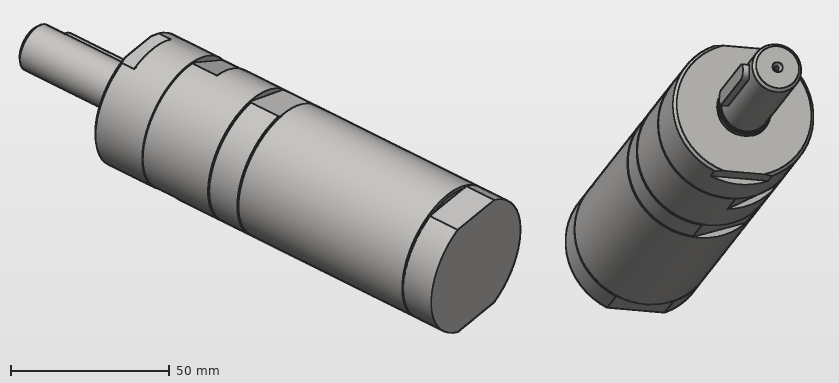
import cadquery as cq
import math

SHAFT_LENGTH = 42.0
TOTAL_LENGTH = 177.5
REAR_FACE = TOTAL_LENGTH - SHAFT_LENGTH
FRONT_COVER_END = 19.6
GEARBOX_END = 46.0
BAND_END = 58.2
REAR_SHOULDER = 124.3

BODY_RADIUS = 46 / 2
FRONT_CHAMFER = 1.0
SHOULDER_CHAMFER = 0.5
JOINT_DEPTH = 0.15
JOINT_WIDTH = 0.5
COVER_JOINT_WIDTH = 0.25
FLAT_DISTANCE = 21.0
FRONT_FLAT_LENGTH = 5.8
POCKET_LENGTH = 10.2
POCKET_ANGLE = 60
BAND_FLAT_ANGLE = 70
UPRIGHT_ANGLE = 90

CUT_MARGIN = 1.0

SHAFT_RADIUS = 16 / 2
SHAFT_CHAMFER = 1.0
COLLAR_LENGTH = 2.4
COLLAR_RADIUS = 16.95 / 2
COLLAR_RIM_LENGTH = 1.2
COLLAR_NECK_RADIUS = 16.6 / 2
RECESS_RADIUS = 17.5 / 2
RECESS_DEPTH = 1.0

KEY_LENGTH = 30.0
KEY_WIDTH = 5.0
KEY_HEIGHT = 5.0
KEY_TOP = 10.0
KEY_SETBACK = 4.9

PILOT_RADIUS = 1.6 / 2
PILOT_DEPTH = 4.0
CENTRE_RADIUS = 3.35 / 2
CENTRE_CONE_HALF_ANGLE = 30


def revolve_about_x(points):
    """Revolve a closed (x, radius) outline about the X axis."""
    return cq.Workplane("XY").polyline(points).close().revolve(360, (0, 0, 0), (1, 0, 0))


def make_housing():
    """Stack of equal-diameter sections, chamfered at the front end and at the rear shoulder."""
    outline = [
        (0, 0),
        (0, BODY_RADIUS - FRONT_CHAMFER),
        (FRONT_CHAMFER, BODY_RADIUS),
        (REAR_SHOULDER - SHOULDER_CHAMFER, BODY_RADIUS),
        (REAR_SHOULDER, BODY_RADIUS - SHOULDER_CHAMFER),
        (REAR_SHOULDER, BODY_RADIUS),
        (REAR_FACE, BODY_RADIUS),
        (REAR_FACE, 0),
    ]
    return revolve_about_x(outline)


def joint_groove(start, width):
    """Ring cutter for the shallow groove at a joint between two housing sections."""
    ring = cq.Workplane("YZ").circle(BODY_RADIUS + CUT_MARGIN).circle(BODY_RADIUS - JOINT_DEPTH).extrude(width)
    return ring.translate((start, 0, 0))


def flat_pair(start, end, angle):
    """Cutters for two opposite flats, the first facing `angle` degrees from +Y toward +Z."""
    depth = BODY_RADIUS - FLAT_DISTANCE + CUT_MARGIN
    cutter = cq.Workplane("XY").box(end - start, depth, 2 * BODY_RADIUS, centered=(False, False, True))
    cutter = cutter.translate((start, FLAT_DISTANCE, 0))
    first = cutter.rotate((0, 0, 0), (1, 0, 0), angle)
    second = cutter.rotate((0, 0, 0), (1, 0, 0), angle + 180)
    return first, second


def make_shaft():
    """Shaft with a chamfered end and a collar, rooted in the housing recess."""
    collar_start = -COLLAR_LENGTH
    outline = [
        (-SHAFT_LENGTH, 0),
        (-SHAFT_LENGTH, SHAFT_RADIUS - SHAFT_CHAMFER),
        (SHAFT_CHAMFER - SHAFT_LENGTH, SHAFT_RADIUS),
        (collar_start, SHAFT_RADIUS),
        (collar_start, COLLAR_RADIUS),
        (collar_start + COLLAR_RIM_LENGTH, COLLAR_RADIUS),
        (collar_start + COLLAR_RIM_LENGTH, COLLAR_NECK_RADIUS),
        (RECESS_DEPTH, COLLAR_NECK_RADIUS),
        (RECESS_DEPTH, 0),
    ]
    return revolve_about_x(outline)


def make_recess():
    """Shallow bore in the front face around the collar."""
    return cq.Workplane("YZ").circle(RECESS_RADIUS).extrude(RECESS_DEPTH)


def make_key():
    """Round-ended parallel key."""
    middle = KEY_SETBACK + KEY_LENGTH / 2 - SHAFT_LENGTH
    key = cq.Workplane("XZ").center(middle, 0).slot2D(KEY_LENGTH, KEY_WIDTH).extrude(KEY_HEIGHT)
    return key.translate((0, KEY_TOP, 0))


def make_centre_hole():
    """Pilot hole with a 60-degree conical mouth."""
    cone_depth = (CENTRE_RADIUS - PILOT_RADIUS) / math.tan(math.radians(CENTRE_CONE_HALF_ANGLE))
    outline = [
        (-SHAFT_LENGTH, 0),
        (-SHAFT_LENGTH, CENTRE_RADIUS),
        (cone_depth - SHAFT_LENGTH, PILOT_RADIUS),
        (PILOT_DEPTH - SHAFT_LENGTH, PILOT_RADIUS),
        (PILOT_DEPTH - SHAFT_LENGTH, 0),
    ]
    return revolve_about_x(outline)


FLAT_PAIRS = [
    (0, FRONT_FLAT_LENGTH, UPRIGHT_ANGLE),
    (FRONT_COVER_END, FRONT_COVER_END + POCKET_LENGTH, POCKET_ANGLE),
    (GEARBOX_END, BAND_END, BAND_FLAT_ANGLE),
    (REAR_SHOULDER, REAR_FACE, UPRIGHT_ANGLE),
]

JOINT_GROOVES = [
    (FRONT_COVER_END, COVER_JOINT_WIDTH),
    (GEARBOX_END, JOINT_WIDTH),
    (BAND_END - JOINT_WIDTH, JOINT_WIDTH),
]

result = make_housing().cut(make_recess())
for groove_start, groove_width in JOINT_GROOVES:
    result = result.cut(joint_groove(groove_start, groove_width))
for flat_start, flat_end, flat_angle in FLAT_PAIRS:
    for flat_cutter in flat_pair(flat_start, flat_end, flat_angle):
        result = result.cut(flat_cutter)
result = result.union(make_shaft()).union(make_key()).cut(make_centre_hole())